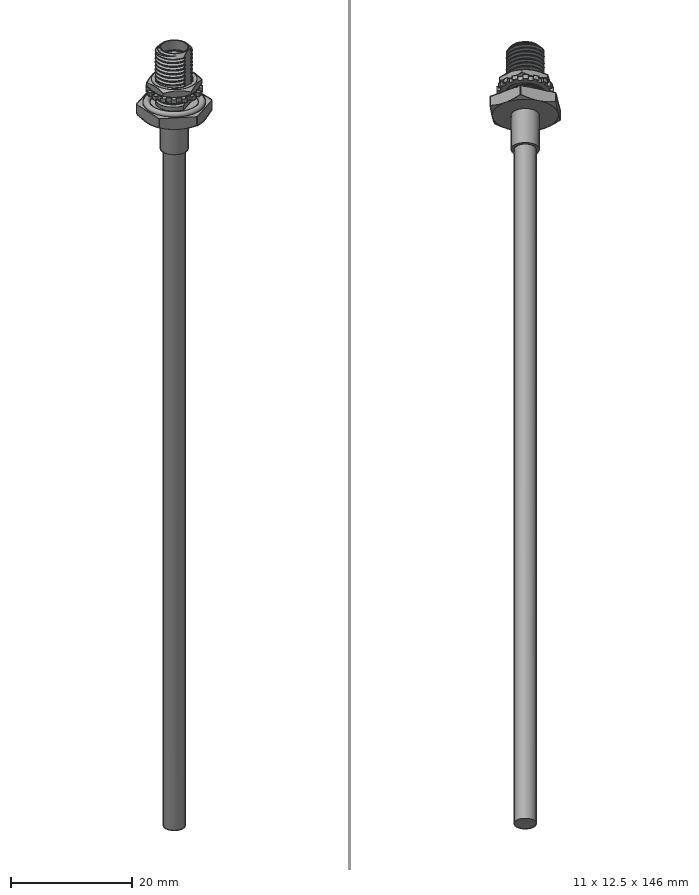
import cadquery as cq
import math

total_length = 146.0

cable_diameter = 3.6

sleeve_diameter = 4.7
sleeve_bottom = 127.0
flange_across_flats = 11.0
flange_across_corners = 12.5
flange_bottom = 133.5
flange_top = 135.6
corner_chamfer_slope = math.tan(math.radians(30))

thread_diameter = 6.3
thread_pitch = 0.7
thread_depth = 0.5
groove_root_width = 0.12
groove_mouth_width = 0.55
groove_start = 0.5
thread_chamfer = 0.7
thread_flat_offset = 2.5

socket_diameter = 4.5
socket_depth = 1.8
step_diameter = 4.1
step_depth = 0.1
contact_hole_diameter = 0.93
contact_hole_depth = 2.9

oring_outer_diameter = 10.4
oring_section = 1.2

washer_diameter = 9.3
washer_bottom = 137.8
washer_thickness = 0.7
washer_teeth = 16
washer_slot_depth = 0.6
nut_across_flats = 8.0
nut_face_diameter = 7.6
nut_height = 1.5

thread_radius = thread_diameter / 2
thread_length = total_length - flange_top
washer_top = washer_bottom + washer_thickness
nut_bottom = washer_top
nut_top = nut_bottom + nut_height
socket_floor = total_length - socket_depth
step_floor = socket_floor - step_depth


def cylinder(diameter, bottom, top):
    """Round bar on the Z axis between two heights."""
    return cq.Workplane("XY").workplane(offset=bottom).circle(diameter / 2).extrude(top - bottom)


def hexagon(across_flats, bottom, top):
    """Hexagonal bar on the Z axis with corners on +Y and -Y."""
    corner_diameter = across_flats / math.cos(math.pi / 6)
    bar = cq.Workplane("XY").workplane(offset=bottom).polygon(6, corner_diameter).extrude(top - bottom)
    return bar.rotate((0, 0, 0), (0, 0, 1), 30)


def turned(points):
    """Solid turned about the Z axis from (radius, height) points."""
    return cq.Workplane("XZ").polyline(points).close().revolve(360, (0, 0, 0), (0, 1, 0))


def make_cable():
    return cylinder(cable_diameter, 0, sleeve_bottom)


def make_oring():
    section_radius = oring_section / 2
    ring_radius = oring_outer_diameter / 2 - section_radius
    return cq.Workplane(cq.Solid.makeTorus(ring_radius, section_radius, cq.Vector(0, 0, flange_top)))


def make_flange():
    """Hexagonal flange, its corners trimmed round and chamfered on the underside."""
    corner_radius = flange_across_corners / 2
    face_radius = flange_across_flats / 2
    chamfer_height = (corner_radius - face_radius) * corner_chamfer_slope
    envelope = turned([
        (0, flange_bottom),
        (face_radius, flange_bottom),
        (corner_radius, flange_bottom + chamfer_height),
        (corner_radius, flange_top),
        (0, flange_top),
    ])
    return hexagon(flange_across_flats, flange_bottom, flange_top).intersect(envelope)


def make_thread_groove():
    """Helical V groove that starts just above the flange and runs out past the top end."""
    start = flange_top + groove_start
    root_radius = thread_radius - thread_depth
    overrun = thread_depth / 3
    flank_spread = (groove_mouth_width - groove_root_width) / 2 * (1 + overrun / thread_depth)
    root_half = groove_root_width / 2
    mouth_half = root_half + flank_spread
    helix_height = total_length + thread_pitch - start
    path = cq.Wire.makeHelix(thread_pitch, helix_height, thread_radius, cq.Vector(0, 0, start))
    profile = cq.Workplane("XZ").polyline([
        (thread_radius + overrun, start - mouth_half),
        (root_radius, start - root_half),
        (root_radius, start + root_half),
        (thread_radius + overrun, start + mouth_half),
    ]).close()
    return profile.sweep(cq.Workplane(path), isFrenet=True)


def make_threaded_barrel():
    barrel = cylinder(thread_diameter, flange_top, total_length).faces(">Z").chamfer(thread_chamfer)
    barrel = barrel.cut(make_thread_groove())
    beyond_flat = cq.Workplane("XY").box(
        thread_diameter, thread_diameter, thread_length, centered=(False, True, False))
    return barrel.cut(beyond_flat.translate((thread_flat_offset, 0, flange_top)))


def make_housing():
    sleeve = cylinder(sleeve_diameter, sleeve_bottom, flange_bottom)
    socket = cylinder(socket_diameter, socket_floor, total_length)
    step = cylinder(step_diameter, step_floor, socket_floor)
    contact_hole = cylinder(contact_hole_diameter, step_floor - contact_hole_depth, step_floor)
    body = make_flange().union(sleeve).union(make_threaded_barrel())
    return body.cut(socket).cut(step).cut(contact_hole).cut(make_oring())


def make_washer():
    """Ring with slots around its rim that are as wide as the teeth between them."""
    ring = cylinder(washer_diameter, washer_bottom, washer_top)
    ring = ring.cut(cylinder(thread_diameter, washer_bottom, washer_top))
    slot_width = math.pi * washer_diameter / washer_teeth / 2
    slot = cq.Workplane("XY").box(2 * washer_slot_depth, slot_width, washer_thickness)
    slot = slot.translate((washer_diameter / 2, 0, (washer_bottom + washer_top) / 2))
    tooth_angle = 360 / washer_teeth
    for i in range(washer_teeth):
        ring = ring.cut(slot.rotate((0, 0, 0), (0, 0, 1), (i + 0.5) * tooth_angle))
    return ring


def make_nut():
    """Hexagon nut with its corners chamfered at both faces."""
    corner_radius = nut_across_flats / math.sqrt(3)
    face_radius = nut_face_diameter / 2
    chamfer_height = (corner_radius - face_radius) * corner_chamfer_slope
    envelope = turned([
        (0, nut_bottom),
        (face_radius, nut_bottom),
        (corner_radius, nut_bottom + chamfer_height),
        (corner_radius, nut_top - chamfer_height),
        (face_radius, nut_top),
        (0, nut_top),
    ])
    nut = hexagon(nut_across_flats, nut_bottom, nut_top).intersect(envelope)
    return nut.cut(cylinder(thread_diameter, nut_bottom, nut_top))


cable = make_cable()
housing = make_housing()
oring = make_oring()
washer = make_washer()
nut = make_nut()

result = cq.Compound.makeCompound([
    cable.solids().val(),
    housing.solids().val(),
    oring.solids().val(),
    washer.solids().val(),
    nut.solids().val(),
])